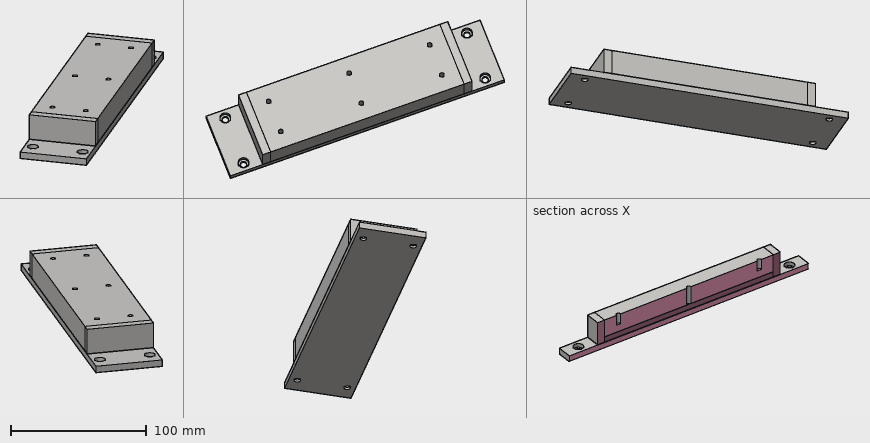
import cadquery as cq

width = 50.7
plate_length = 216
plate_thickness = 5.2
mount_spacing_x = 38.0
mount_spacing_y = 190.5
mount_hole_diameter = 4.7
counterbore_diameter = 8.0
counterbore_depth = 3.2

sheet_thickness = 0.32

total_height = 24.8
block_length = 152.5
cap_thickness = 6.3
covered_length = block_length + 2 * cap_thickness
block_base = plate_thickness + sheet_thickness
block_height = total_height - block_base

hole_diameter = 3.5
hole_spacing_x = 25.5
hole_spacing_y = 63.5
outer_hole_depth = 8.6

bar_chamfer = 1.3
bar_width = hole_spacing_x + bar_chamfer
bar_height = 5.2

middle_hole_depth = block_height - (bar_height - bar_chamfer)


def slab(length, height, base):
    """Full-width slab, centred in X and Y, standing on the level `base`."""
    return cq.Workplane("XY", origin=(0, 0, base)).box(width, length, height, centered=(True, True, False))


def make_plate():
    """Base plate with a counterbored mounting hole in each corner."""
    return (
        slab(plate_length, plate_thickness, 0)
        .faces(">Z")
        .workplane()
        .rarray(mount_spacing_x, mount_spacing_y, 2, 2)
        .cboreHole(mount_hole_diameter, counterbore_diameter, counterbore_depth)
    )


def make_sheet():
    """Thin sheet that the block and the caps stand on."""
    return slab(covered_length, sheet_thickness, plate_thickness)


def make_bar():
    """Bar on the sheet, as long as the block, with its long top edges chamfered."""
    return (
        cq.Workplane("XY", origin=(0, 0, block_base))
        .box(bar_width, block_length, bar_height, centered=(True, True, False))
        .faces(">Z")
        .edges("|Y")
        .chamfer(bar_chamfer)
    )


def make_block(bar):
    """Block with blind holes in its top and a channel that fits the bar."""
    block = (
        slab(block_length, block_height, block_base)
        .faces(">Z")
        .workplane()
        .rarray(hole_spacing_x, 2 * hole_spacing_y, 2, 2)
        .hole(hole_diameter, outer_hole_depth)
        .faces(">Z")
        .workplane(origin=(0, 0, total_height))
        .rarray(hole_spacing_x, hole_spacing_y, 2, 1)
        .hole(hole_diameter, middle_hole_depth)
    )
    return block.cut(bar)


def make_cap(end):
    """Cap that closes one end of the block; `end` is -1 or 1 along Y."""
    offset = end * (block_length + cap_thickness) / 2
    return slab(cap_thickness, block_height, block_base).translate((0, offset, 0))


plate = make_plate()
sheet = make_sheet()
bar = make_bar()
block = make_block(bar)
caps = [make_cap(end) for end in (-1, 1)]

result = cq.Compound.makeCompound(
    [plate.val(), sheet.val(), bar.val(), block.val(), *[cap.val() for cap in caps]]
)